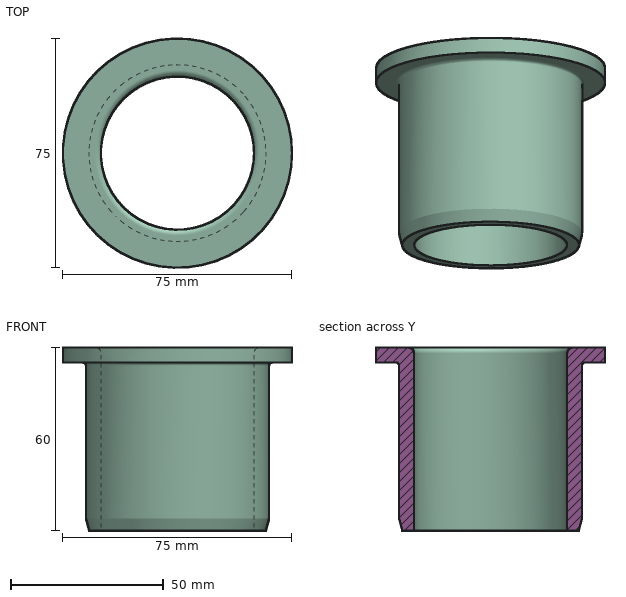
import cadquery as cq
import math

bore_diameter = 50.0
body_diameter = 60.0
flange_diameter = 75.0
total_height = 60.0
flange_thickness = 5.0
mouth_radius = 2.0
neck_radius = 1.0
lead_in_height = 4.0
lead_in_angle = 15.0

bore_radius = bore_diameter / 2
body_radius = body_diameter / 2
flange_radius = flange_diameter / 2
flange_underside = total_height - flange_thickness
lead_in_inset = lead_in_height * math.tan(math.radians(lead_in_angle))


def quarter_arc_middle(center, radius):
    """Midpoint of the quarter arc above its center and on the side of the bush axis."""
    offset = radius * math.sqrt(0.5)
    return (center[0] - offset, center[1] + offset)


def bush_profile():
    """Half section of the bush: X is the radius, the local Y is the height."""
    neck_center = (body_radius + neck_radius, flange_underside - neck_radius)
    mouth_center = (bore_radius + mouth_radius, total_height - mouth_radius)
    return (
        cq.Workplane("XZ")
        .moveTo(bore_radius, 0)
        .lineTo(body_radius - lead_in_inset, 0)
        .lineTo(body_radius, lead_in_height)
        .lineTo(body_radius, neck_center[1])
        .threePointArc(
            quarter_arc_middle(neck_center, neck_radius),
            (neck_center[0], flange_underside),
        )
        .lineTo(flange_radius, flange_underside)
        .lineTo(flange_radius, total_height)
        .lineTo(mouth_center[0], total_height)
        .threePointArc(
            quarter_arc_middle(mouth_center, mouth_radius),
            (bore_radius, mouth_center[1]),
        )
        .close()
    )


result = bush_profile().revolve(axisStart=(0, 0, 0), axisEnd=(0, 1, 0))